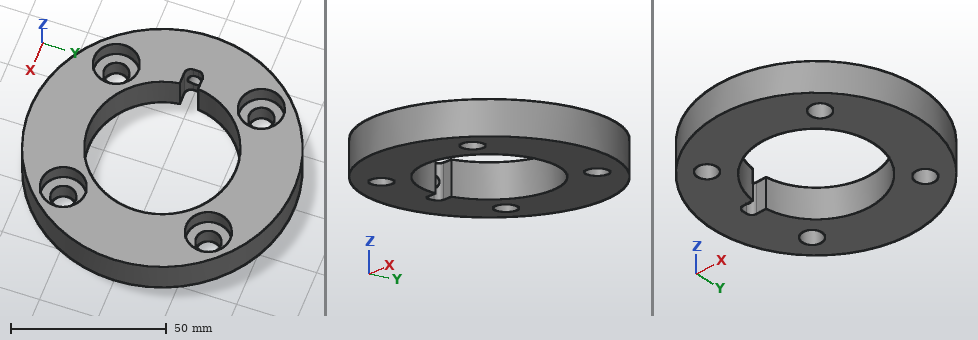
import cadquery as cq

outer_diameter = 90.0
thickness = 12.5
bore_diameter = 50.0

bolt_circle_radius = 35.0
bolt_count = 4
bolt_hole_diameter = 8.4
counterbore_diameter = 15.0
counterbore_depth = 6.0

keyway_width = 6.2
keyway_reach = 31.2
keyway_corner_radius = 2.25

radial_hole_diameter = 5.0


def make_ring():
    return cq.Workplane("XY").circle(outer_diameter / 2).circle(bore_diameter / 2).extrude(thickness)


def cut_bolt_holes(body):
    first_angle = 180 / bolt_count
    return (
        body.faces(">Z")
        .workplane(origin=(0, 0, thickness))
        .polarArray(bolt_circle_radius, first_angle, 360, bolt_count)
        .cboreHole(bolt_hole_diameter, counterbore_diameter, counterbore_depth)
    )


def make_keyway():
    return (
        cq.Workplane("XY")
        .center(-keyway_reach / 2, 0)
        .rect(keyway_reach, keyway_width)
        .extrude(thickness)
        .edges("|Z and <X")
        .fillet(keyway_corner_radius)
    )


def make_radial_hole():
    return (
        cq.Workplane("YZ", origin=(0, 0, thickness / 2))
        .circle(radial_hole_diameter / 2)
        .extrude(-outer_diameter / 2)
    )


result = cut_bolt_holes(make_ring()).cut(make_keyway()).cut(make_radial_hole())